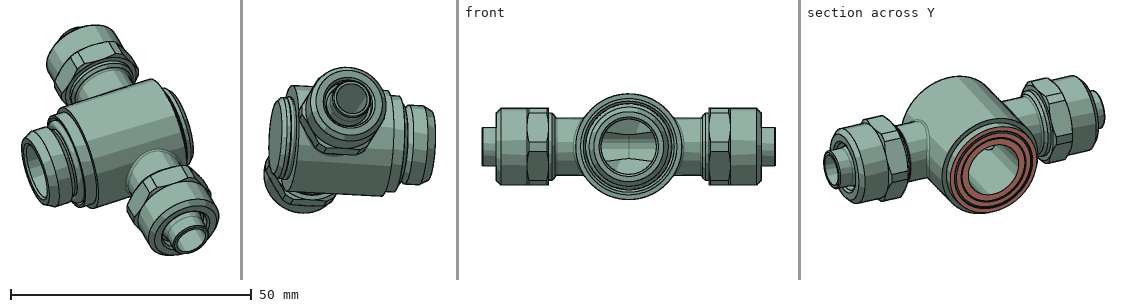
import cadquery as cq
import math


BARREL_DIAMETER = 22.0
BARREL_RADIUS = BARREL_DIAMETER / 2
BARREL_BACK = 7.5
BARREL_FRONT = -12.5
COLLAR_RADIUS = 10.0
COLLAR_FRONT = -15.0

HEAD_RADIUS = 8.4
HEAD_CHAMFER = 0.9
HEAD_FRONT = 8.7
HEAD_BACK = 10.5
HEAD_GROOVE_RADIUS = 8.05
RING_SECTION_RADIUS = 0.52
RING_CENTRE_RADIUS = 8.1
RING_GAP = 0.5

STUD_RADIUS = 8.25
STUD_NECK_RADIUS = 7.25
STUD_FRONT = -22.0
STUD_BACK = -17.2
STUD_BACK_CHAMFER = STUD_RADIUS - STUD_NECK_RADIUS
STUD_FRONT_CHAMFER_LENGTH = 1.8
STUD_TIP_RADIUS = STUD_NECK_RADIUS

SEAL_SECTION_RADIUS = 1.0
SEAL_CENTRE_RADIUS = 8.0
RECESS_MOUTH_RADIUS = 9.45
RECESS_FLOOR_RADIUS = 8.85
RECESS_DEPTH = 0.9

BORE_RADIUS = 5.75
BORE_MOUTH_CHAMFER = 0.4
BORE_WALL_END = 1.1
BORE_APEX = 2.8

STUB_LENGTH = 30.5
BRANCH_RADIUS = 6.0
BRANCH_FILLET = 0.5
PASSAGE_RADIUS = 3.25
FLANGE_RADIUS = 7.0
FLANGE_INNER_END = 15.3
FLANGE_CHAMFER = 0.6
FLANGE_FILLET = 0.35
SPIGOT_RADIUS = 4.4
STUB_TIP_RADIUS = 4.0
STUB_TIP_CHAMFER = 0.25
STUB_CONE_LENGTH = 2.1

NUT_INNER_END = 16.65
NUT_HEX_END = 21.1
NUT_OUTER_END = 27.5
NUT_RADIUS = 8.0
NUT_CHAMFER = 1.0
HEX_ACROSS_FLATS = 2 * NUT_RADIUS
HEX_CORNER_RADIUS = 8.7
HEX_CHAMFER_LENGTH = 0.35
NUT_MOUTH_RADIUS = 5.5
NUT_MOUTH_CHAMFER = 0.46
NUT_CAVITY_RADIUS = NUT_MOUTH_RADIUS - NUT_MOUTH_CHAMFER
NUT_FLOOR = NUT_OUTER_END - STUB_CONE_LENGTH

SIDES = (1, -1)


def revolve_about_y(points):
    """Solid of revolution from (radius, y) points."""
    return cq.Workplane("XY").polyline(points).close().revolve(360, (0, 0, 0), (0, 1, 0))


def revolve_about_x(points):
    """Solid of revolution from (x, radius) points."""
    return cq.Workplane("XY").polyline(points).close().revolve(360, (0, 0, 0), (1, 0, 0))


def ring_about_y(centre_radius, section_radius, centre_y):
    """Round-section ring around the Y axis."""
    section = cq.Workplane("XY").center(centre_radius, centre_y).circle(section_radius)
    return section.revolve(360, (-centre_radius, 0, 0), (-centre_radius, 1, 0))


def make_barrel_with_branches():
    """Main cylinder crossed by one straight branch tube, with filleted junctions."""
    barrel = revolve_about_y([
        (0, BARREL_FRONT),
        (BARREL_RADIUS, BARREL_FRONT),
        (BARREL_RADIUS, BARREL_BACK),
        (0, BARREL_BACK),
    ])
    branch = (
        cq.Workplane("YZ")
        .circle(BRANCH_RADIUS)
        .extrude(FLANGE_INNER_END, both=True)
    )
    reach = BARREL_RADIUS + BRANCH_FILLET
    side_reach = BRANCH_RADIUS + BRANCH_FILLET
    junctions = cq.selectors.BoxSelector(
        (-reach, -side_reach, -side_reach),
        (reach, side_reach, side_reach),
        boundingbox=True,
    )
    return barrel.union(branch).edges(junctions).fillet(BRANCH_FILLET)


def make_stud():
    """Collar, recess neck and chamfered threaded end in front of the barrel."""
    return revolve_about_y([
        (0, BARREL_FRONT),
        (COLLAR_RADIUS, BARREL_FRONT),
        (COLLAR_RADIUS, COLLAR_FRONT),
        (RECESS_MOUTH_RADIUS, COLLAR_FRONT),
        (RECESS_FLOOR_RADIUS, COLLAR_FRONT + RECESS_DEPTH),
        (STUD_NECK_RADIUS, COLLAR_FRONT + RECESS_DEPTH),
        (STUD_NECK_RADIUS, STUD_BACK + STUD_BACK_CHAMFER),
        (STUD_RADIUS, STUD_BACK),
        (STUD_RADIUS, STUD_FRONT + STUD_FRONT_CHAMFER_LENGTH),
        (STUD_TIP_RADIUS, STUD_FRONT),
        (0, STUD_FRONT),
    ])


def make_head():
    """Grooved and chamfered head behind the barrel."""
    return revolve_about_y([
        (0, BARREL_BACK),
        (HEAD_GROOVE_RADIUS, BARREL_BACK),
        (HEAD_GROOVE_RADIUS, HEAD_FRONT),
        (HEAD_RADIUS, HEAD_FRONT),
        (HEAD_RADIUS, HEAD_BACK - HEAD_CHAMFER),
        (HEAD_RADIUS - HEAD_CHAMFER, HEAD_BACK),
        (0, HEAD_BACK),
    ])


def make_snap_ring():
    """Round-section ring against the back of the barrel, split at the top."""
    ring = ring_about_y(RING_CENTRE_RADIUS, RING_SECTION_RADIUS, BARREL_BACK + RING_SECTION_RADIUS)
    gap = cq.Workplane("XY").box(
        RING_GAP, BARREL_RADIUS, BARREL_RADIUS, centered=(True, True, False)
    ).translate((0, BARREL_BACK, 0))
    return ring.cut(gap)


def make_stub(side):
    """Flange, spigot and slim chamfered hose end on one side."""
    return revolve_about_x([
        (side * FLANGE_INNER_END, 0),
        (side * FLANGE_INNER_END, FLANGE_RADIUS - FLANGE_CHAMFER),
        (side * (FLANGE_INNER_END + FLANGE_CHAMFER), FLANGE_RADIUS),
        (side * NUT_INNER_END, FLANGE_RADIUS),
        (side * NUT_INNER_END, SPIGOT_RADIUS),
        (side * NUT_FLOOR, SPIGOT_RADIUS),
        (side * NUT_OUTER_END, STUB_TIP_RADIUS),
        (side * (STUB_LENGTH - STUB_TIP_CHAMFER), STUB_TIP_RADIUS),
        (side * STUB_LENGTH, STUB_TIP_RADIUS - STUB_TIP_CHAMFER),
        (side * STUB_LENGTH, 0),
    ])


def fillet_flange_root(housing, side):
    """Round the inner corner where the branch tube meets the flange on one side."""
    reach = BRANCH_RADIUS + FLANGE_FILLET / 2
    root = cq.selectors.BoxSelector(
        (side * FLANGE_INNER_END - FLANGE_FILLET, -reach, -reach),
        (side * FLANGE_INNER_END + FLANGE_FILLET, reach, reach),
        boundingbox=True,
    )
    return housing.edges(root).edges("%CIRCLE").fillet(FLANGE_FILLET)


def make_stud_bore():
    """Cutter for the blind bore, with its mouth chamfer and conical bottom."""
    return revolve_about_y([
        (0, STUD_FRONT),
        (BORE_RADIUS + BORE_MOUTH_CHAMFER, STUD_FRONT),
        (BORE_RADIUS, STUD_FRONT + BORE_MOUTH_CHAMFER),
        (BORE_RADIUS, BORE_WALL_END),
        (0, BORE_APEX),
    ])


def make_housing():
    seal_ring = ring_about_y(SEAL_CENTRE_RADIUS, SEAL_SECTION_RADIUS, COLLAR_FRONT)
    passage = cq.Workplane("YZ").circle(PASSAGE_RADIUS).extrude(STUB_LENGTH, both=True)
    housing = make_barrel_with_branches().union(make_stud()).union(seal_ring)
    housing = housing.union(make_head()).union(make_snap_ring())
    for side in SIDES:
        housing = fillet_flange_root(housing.union(make_stub(side)), side)
    return housing.cut(make_stud_bore()).cut(passage)


def make_nut(side):
    """Union nut: round outer sleeve, hexagon at the inner end, open cavity for the hose."""
    hexagon = (
        cq.Workplane("YZ", origin=(side * NUT_INNER_END, 0, 0))
        .polygon(6, HEX_ACROSS_FLATS / math.cos(math.pi / 6))
        .extrude(side * (NUT_HEX_END - NUT_INNER_END))
    )
    hex_envelope = revolve_about_x([
        (side * NUT_INNER_END, 0),
        (side * NUT_INNER_END, NUT_RADIUS),
        (side * (NUT_INNER_END + HEX_CHAMFER_LENGTH), HEX_CORNER_RADIUS),
        (side * (NUT_HEX_END - HEX_CHAMFER_LENGTH), HEX_CORNER_RADIUS),
        (side * NUT_HEX_END, NUT_RADIUS),
        (side * NUT_HEX_END, 0),
    ])
    sleeve = revolve_about_x([
        (side * NUT_HEX_END, 0),
        (side * NUT_HEX_END, NUT_RADIUS),
        (side * (NUT_OUTER_END - NUT_CHAMFER), NUT_RADIUS),
        (side * NUT_OUTER_END, NUT_RADIUS - NUT_CHAMFER),
        (side * NUT_OUTER_END, 0),
    ])
    opening = revolve_about_x([
        (side * NUT_INNER_END, 0),
        (side * NUT_INNER_END, SPIGOT_RADIUS),
        (side * NUT_FLOOR, SPIGOT_RADIUS),
        (side * NUT_FLOOR, NUT_CAVITY_RADIUS),
        (side * (NUT_OUTER_END - NUT_MOUTH_CHAMFER), NUT_CAVITY_RADIUS),
        (side * NUT_OUTER_END, NUT_MOUTH_RADIUS),
        (side * NUT_OUTER_END, 0),
    ])
    return hexagon.intersect(hex_envelope).union(sleeve).cut(opening)


housing = make_housing()
nuts = [make_nut(side) for side in SIDES]

result = cq.Compound.makeCompound([body.solids().val() for body in (housing, *nuts)])